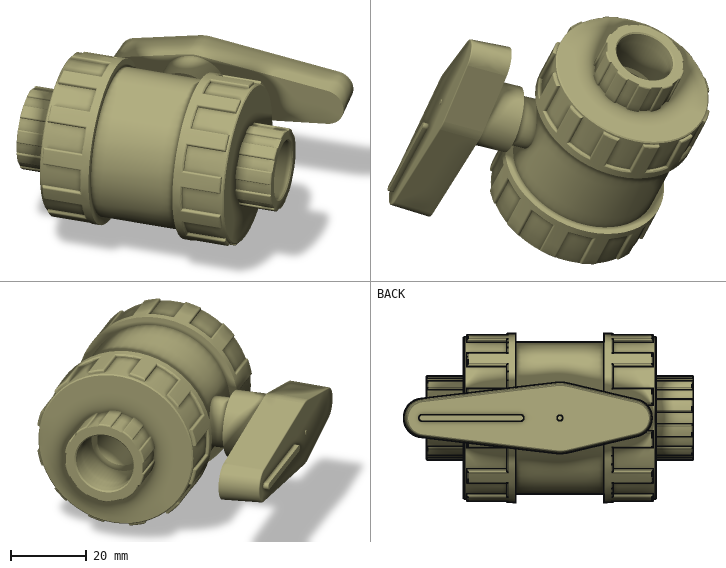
import cadquery as cq
import math

valve_length = 71.0
body_diameter = 40.5
bore_diameter = 12.8

nut_inner_x = 11.7
nut_outer_x = 25.65
nut_diameter = 43.2
nut_edge_chamfer = 0.3
collar_diameter = 45.0
collar_width = 2.5
nut_rib_count = 12
nut_rib_width = 4.6
nut_rib_end_gap = 0.85
nut_rib_round = 0.45

socket_diameter = 21.4
socket_bore_diameter = 16.0
socket_bore_depth = 14.0
socket_mouth_chamfer = 0.35
grip_diameter = 22.4
grip_count = 10
grip_width = 3.6
grip_round = 0.4

stem_diameter = 13.5
hub_diameter = 18.0
hub_start_y = 24.6

handle_start_y = 33.75
handle_top_y = 44.9
handle_draft_angle = 2.5
handle_top_round = 0.3
pivot_radius = 9.5
short_end_radius = 5.0
short_end_x = -19.5
long_end_radius = 5.2
long_end_x = 36.37
long_end_extra_lean = 0.25

pointer_start_x = 9.6
pointer_end_x = 37.5
pointer_width = 1.8
pointer_top_y = 46.35

pip_diameter = 1.5
pip_height = 0.2

position_tolerance = 0.01


def mirrored_pair(solid):
    """The feature on the -X end together with its copy on the +X end."""
    return solid.union(solid.mirror("YZ"))


def x_cylinder(diameter, start_x, end_x):
    return cq.Workplane("YZ", origin=(start_x, 0, 0)).circle(diameter / 2).extrude(end_x - start_x)


def y_cylinder(diameter, start_y, end_y):
    return cq.Workplane("XZ", origin=(0, start_y, 0)).circle(diameter / 2).extrude(start_y - end_y)


def spread_around_x(solid, count, first_angle):
    """Copies of a feature at equal angles around the X axis, joined together."""
    step = 360.0 / count
    copies = solid.rotate((0, 0, 0), (1, 0, 0), first_angle)
    for index in range(1, count):
        copies = copies.union(solid.rotate((0, 0, 0), (1, 0, 0), first_angle + index * step))
    return copies


def rounded_outer_edges(solid, radius, envelope_radius, rim_x):
    """Round the edges lying on the outer cylinder, leaving the rim at rim_x sharp."""
    def is_rounded(edge):
        point = edge.positionAt(0.5)
        on_surface = abs(math.hypot(point.y, point.z) - envelope_radius) < position_tolerance
        return on_surface and abs(point.x - rim_x) > position_tolerance

    edges = [edge for edge in solid.edges().vals() if is_rounded(edge)]
    return solid.newObject(edges).fillet(radius)


def union_nut():
    """Nut on the -X end: a drum with a raised collar and grip ribs that run out of it."""
    collar_start_x = -nut_inner_x - collar_width
    drum = x_cylinder(nut_diameter, -nut_outer_x, -nut_inner_x).faces("<X").chamfer(nut_edge_chamfer)

    rib_start_x = -nut_outer_x + nut_rib_end_gap
    rib_length = -nut_inner_x - rib_start_x
    rib = (
        cq.Workplane("XY")
        .box(rib_length, nut_rib_width, collar_diameter, centered=(False, True, False))
        .translate((rib_start_x, 0, 0))
    )
    ribs = spread_around_x(rib, nut_rib_count, 180.0 / nut_rib_count)
    envelope = x_cylinder(collar_diameter, rib_start_x, -nut_inner_x)
    collar = x_cylinder(collar_diameter, collar_start_x, -nut_inner_x)
    raised = collar.union(ribs.intersect(envelope))
    raised = rounded_outer_edges(raised, nut_rib_round, collar_diameter / 2, -nut_inner_x)
    return drum.union(raised)


def pipe_socket():
    """Socket on the -X end: a plain sleeve with straight rounded grip ribs."""
    end_x = -valve_length / 2
    length = valve_length / 2 - nut_inner_x
    sleeve = x_cylinder(socket_diameter, end_x, -nut_inner_x)
    grip = (
        cq.Workplane("XY")
        .box(length, grip_width, grip_diameter, centered=(False, True, False))
        .translate((end_x, 0, 0))
        .intersect(x_cylinder(grip_diameter, end_x, -nut_inner_x))
    )
    grip = rounded_outer_edges(grip, grip_round, grip_diameter / 2, -nut_inner_x)
    return sleeve.union(spread_around_x(grip, grip_count, 0))


def socket_bore():
    """Widened bore on the -X end with a chamfered mouth."""
    end_x = -valve_length / 2
    mouth_radius = socket_bore_diameter / 2 + socket_mouth_chamfer
    bore_radius = socket_bore_diameter / 2
    return (
        cq.Workplane("XY")
        .moveTo(end_x, 0)
        .lineTo(end_x, mouth_radius)
        .lineTo(end_x + socket_mouth_chamfer, bore_radius)
        .lineTo(end_x + socket_bore_depth, bore_radius)
        .lineTo(end_x + socket_bore_depth, 0)
        .close()
        .revolve(360, (0, 0, 0), (1, 0, 0))
    )


def handle_outline(workplane, inset, long_x):
    """Closed outline tangent to the pivot circle and to both end circles, shrunk by inset."""
    pivot = pivot_radius - inset
    short_end = short_end_radius - inset
    long_end = long_end_radius - inset
    short_sine = (pivot - short_end) / abs(short_end_x)
    long_sine = (pivot - long_end) / long_x
    short_cosine = math.sqrt(1 - short_sine**2)
    long_cosine = math.sqrt(1 - long_sine**2)

    def short_tangent(center_x, radius, side):
        return (center_x - radius * short_sine, side * radius * short_cosine)

    def long_tangent(center_x, radius, side):
        return (center_x + radius * long_sine, side * radius * long_cosine)

    return (
        workplane.moveTo(*short_tangent(short_end_x, short_end, 1))
        .lineTo(*short_tangent(0, pivot, 1))
        .threePointArc((0, pivot), long_tangent(0, pivot, 1))
        .lineTo(*long_tangent(long_x, long_end, 1))
        .threePointArc((long_x + long_end, 0), long_tangent(long_x, long_end, -1))
        .lineTo(*long_tangent(0, pivot, -1))
        .threePointArc((0, -pivot), short_tangent(0, pivot, -1))
        .lineTo(*short_tangent(short_end_x, short_end, -1))
        .threePointArc((short_end_x - short_end, 0), short_tangent(short_end_x, short_end, 1))
        .close()
    )


def handle():
    """Lever that narrows toward its top, with a rounded top edge."""
    height = handle_top_y - handle_start_y
    inset = height * math.tan(math.radians(handle_draft_angle))
    base = handle_outline(cq.Workplane("XZ", origin=(0, handle_start_y, 0)), 0, long_end_x)
    top_plane = base.workplane(offset=-height)
    lever = handle_outline(top_plane, inset, long_end_x - long_end_extra_lean).loft(ruled=True)
    return lever.faces(">Y").edges().fillet(handle_top_round)


def pointer():
    """Round-ended strip standing on the long arm of the handle."""
    return (
        cq.Workplane("XZ", origin=((pointer_start_x + pointer_end_x) / 2, handle_start_y, 0))
        .slot2D(pointer_end_x - pointer_start_x, pointer_width)
        .extrude(handle_start_y - pointer_top_y)
    )


body = x_cylinder(body_diameter, -nut_outer_x, nut_outer_x)
stem = y_cylinder(stem_diameter, 0, hub_start_y)
hub = y_cylinder(hub_diameter, hub_start_y, handle_start_y)
pip = y_cylinder(pip_diameter, handle_start_y, handle_top_y + pip_height)

result = (
    body.union(mirrored_pair(union_nut()))
    .union(mirrored_pair(pipe_socket()))
    .union(stem)
    .union(hub)
    .union(handle())
    .union(pointer())
    .union(pip)
    .cut(x_cylinder(bore_diameter, -valve_length / 2, valve_length / 2))
    .cut(mirrored_pair(socket_bore()))
)